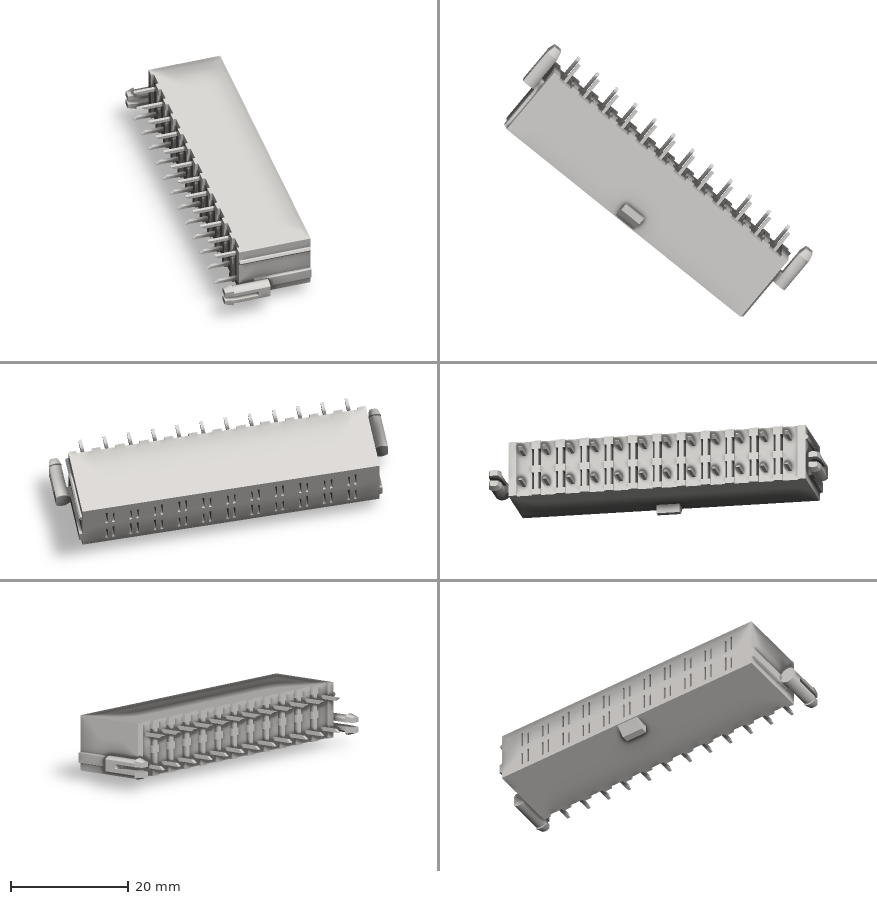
import cadquery as cq


overall_length = 57.6
overall_height = 11.1

column_count = 12
pitch = 4.2
end_margin = 2.7
body_length = (column_count - 1) * pitch + 2 * end_margin
body_depth = 12.8
body_height = 9.6

recess_width = 2.6
recess_depth = 0.5

slot_width = 0.42
slot_height = 2.95
slot_row_pitch = 4.2
slot_center_z = 4.6
slot_corner_cut = 0.65
slot_window_depth = 3.0
key_group = 4

pin_size = 0.56
pin_reach = 3.5
pin_bevel = 0.7
pin_tip_land = 0.1
pin_row_pitch = 5.5
lower_pin_z = 1.9
upper_pin_z = lower_pin_z + pin_row_pitch
pin_embed = 0.5

latch_width = 4.0
latch_length = 3.0
latch_drop = overall_height - body_height
latch_slope_start = 0.2
latch_slope_run = 1.6

peg_z = 2.3
rail_depth = 0.5
rail_root_height = 2.0
rail_waist_height = 1.7
neck_root_height = 2.5
neck_waist_height = 1.6
neck_peg_height = 2.1
peg_back_y = 4.7
neck_length = 2.1
neck_end_y = peg_back_y - neck_length
peg_radius = 1.5
peg_gap = 0.85
peg_width = (overall_length - body_length) / 2 - peg_gap
peg_tip_y = -3.3
barb_y = -1.85
barb_radius = 1.85
barb_tip_radius = 1.45
peg_slot_height = 0.86
peg_slot_back_y = 2.6
peg_slot_bulge = 0.15
tip_taper = 0.35

key_depth = 0.55
key_shoulder_depth = 0.3
key_height = 0.8
key_shoulder_height = 0.7
key_z = 7.45
key_setback = 0.15

column_xs = [(i - (column_count - 1) / 2) * pitch for i in range(column_count)]


def block(x_min, x_max, y_min, y_max, z_min, z_max):
    """Axis-aligned box between two corners."""
    return cq.Workplane("XY").box(
        x_max - x_min, y_max - y_min, z_max - z_min, centered=False
    ).translate((x_min, y_min, z_min))


def prism_along_y(points, y_min, y_max):
    """Closed XZ outline extruded from y_min to y_max."""
    return cq.Workplane("XZ", origin=(0, y_max, 0)).polyline(points).close().extrude(y_max - y_min)


def prism_along_x(points, x_min, x_max):
    """Closed YZ outline extruded from x_min to x_max."""
    return cq.Workplane("YZ", origin=(x_min, 0, 0)).polyline(points).close().extrude(x_max - x_min)


def make_slot(column_x, row, side, keyed):
    """Through slot beside a recess: a rectangular window, with a slanted top behind it when keyed."""
    inner_x = column_x + side * recess_width / 2
    outer_x = inner_x + side * slot_width
    bottom = slot_center_z + (row - 0.5) * slot_row_pitch - slot_height / 2
    top = bottom + slot_height
    window = [(inner_x, bottom), (outer_x, bottom), (outer_x, top), (inner_x, top)]
    if not keyed:
        return prism_along_y(window, 0, body_depth)
    outer_top = top - slot_corner_cut
    keyed_outline = [
        (inner_x, bottom),
        (outer_x, bottom),
        (outer_x, outer_top),
        (inner_x, outer_top + slot_width),
    ]
    return prism_along_y(window, 0, slot_window_depth).union(prism_along_y(keyed_outline, 0, body_depth))


def make_housing():
    """Block with pin recesses and slots; the rows (0 lower, 1 upper) trade keying in column pairs."""
    housing = block(-body_length / 2, body_length / 2, 0, body_depth, 0, body_height)
    half = recess_width / 2
    for x in column_xs:
        housing = housing.cut(block(x - half, x + half, 0, recess_depth, 0, body_height))
    for column, x in enumerate(column_xs):
        for row in (0, 1):
            keyed = (column % key_group in (0, key_group - 1)) == (row == 0)
            if column > 0:
                housing = housing.cut(make_slot(x, row, -1, keyed))
            if column < column_count - 1:
                housing = housing.cut(make_slot(x, row, 1, keyed))
    return housing


def make_pin(x, z, point_side):
    """Square pin with a bevelled tip; its point lies on the upper (+1) or lower (-1) face."""
    near = z + point_side * pin_size / 2
    far = z - point_side * pin_size / 2
    root_y = recess_depth + pin_embed
    outline = [
        (root_y, near),
        (-pin_reach, near),
        (-pin_reach, near - point_side * pin_tip_land),
        (-pin_reach + pin_bevel, far),
        (root_y, far),
    ]
    return prism_along_x(outline, x - pin_size / 2, x + pin_size / 2)


def make_latch():
    """Ramp under the mating edge of the housing floor."""
    slope_top_y = body_depth - latch_slope_start
    outline = [
        (slope_top_y, 0),
        (slope_top_y - latch_slope_run, -latch_drop),
        (body_depth - latch_length, -latch_drop),
        (body_depth - latch_length, 0),
    ]
    return prism_along_x(outline, -latch_width / 2, latch_width / 2)


def make_board_lock():
    """Rail, neck and split peg for the +X end."""
    wall_x = body_length / 2
    waist_x = wall_x + rail_depth
    root = rail_root_height / 2
    waist = rail_waist_height / 2
    rail = prism_along_y(
        [
            (wall_x, peg_z - root),
            (waist_x, peg_z - waist),
            (waist_x, peg_z + waist),
            (wall_x, peg_z + root),
        ],
        neck_end_y,
        body_depth,
    )
    inner_x = wall_x + peg_gap
    outer_x = inner_x + peg_width
    axis_x = (inner_x + outer_x) / 2
    neck_root = neck_root_height / 2
    neck_waist = neck_waist_height / 2
    neck_peg = neck_peg_height / 2
    neck_middle_x = (wall_x + inner_x) / 2
    neck = (
        cq.Workplane("XZ", origin=(0, peg_back_y, 0))
        .moveTo(wall_x, peg_z - neck_root)
        .threePointArc((neck_middle_x, peg_z - neck_waist), (inner_x, peg_z - neck_peg))
        .lineTo(inner_x, peg_z + neck_peg)
        .threePointArc((neck_middle_x, peg_z + neck_waist), (wall_x, peg_z + neck_root))
        .close()
        .extrude(neck_length)
    )
    peg = (
        cq.Workplane("XY")
        .polyline(
            [
                (0, peg_back_y),
                (peg_radius, peg_back_y),
                (peg_radius, barb_y),
                (barb_radius, barb_y),
                (barb_tip_radius, peg_tip_y),
                (0, peg_tip_y),
            ]
        )
        .close()
        .revolve(360, (0, 0, 0), (0, 1, 0))
        .translate((axis_x, 0, peg_z))
    )
    flats = (
        cq.Workplane("XY", origin=(0, 0, peg_z - barb_radius))
        .polyline(
            [
                (inner_x, peg_back_y),
                (inner_x, barb_y),
                (inner_x + tip_taper, peg_tip_y),
                (outer_x - tip_taper, peg_tip_y),
                (outer_x, barb_y),
                (outer_x, peg_back_y),
            ]
        )
        .close()
        .extrude(2 * barb_radius)
    )
    split_half = peg_slot_height / 2
    split = (
        cq.Workplane("YZ", origin=(inner_x, 0, 0))
        .moveTo(peg_tip_y, peg_z - split_half)
        .lineTo(peg_slot_back_y - peg_slot_bulge, peg_z - split_half)
        .threePointArc((peg_slot_back_y, peg_z), (peg_slot_back_y - peg_slot_bulge, peg_z + split_half))
        .lineTo(peg_tip_y, peg_z + split_half)
        .close()
        .extrude(peg_width)
    )
    return rail.union(neck).union(peg.intersect(flats).cut(split))


def make_key_rib():
    """Ridge with a sharp crest along the +X end wall."""
    wall_x = body_length / 2
    shoulder_x = wall_x + key_shoulder_depth
    root = key_height / 2
    shoulder = key_shoulder_height / 2
    outline = [
        (wall_x, key_z - root),
        (shoulder_x, key_z - shoulder),
        (wall_x + key_depth, key_z),
        (shoulder_x, key_z + shoulder),
        (wall_x, key_z + root),
    ]
    return prism_along_y(outline, 0, body_depth - key_setback)


board_lock = make_board_lock()
result = make_housing().union(make_latch()).union(make_key_rib())
result = result.union(board_lock).union(board_lock.mirror("YZ"))
for column_x in column_xs:
    result = result.union(make_pin(column_x, upper_pin_z, 1))
    result = result.union(make_pin(column_x, lower_pin_z, -1))